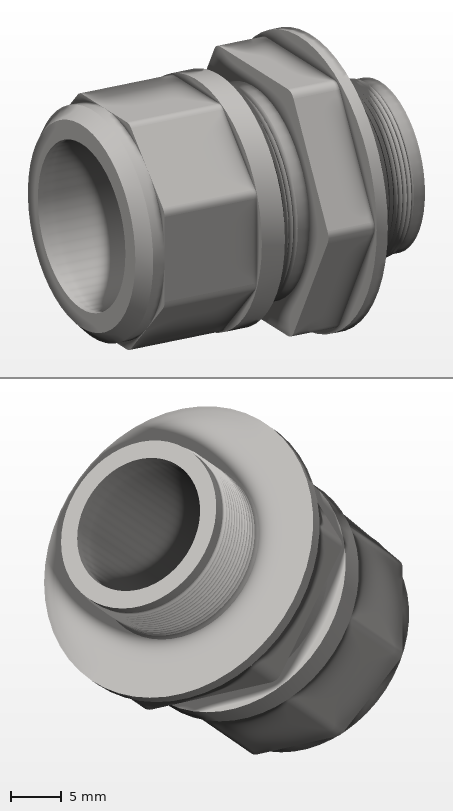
import cadquery as cq
import math


chamfer_length = 1.3
cap_length = 1.3
octagon_length = 10.4
nut_flange_length = 2.6
spigot_thread_length = 2.57
spigot_collar_length = 1.32
hex_length = 5.2
body_flange_length = 1.25
tip_length = 1.3
total_length = 33.78

nut_bore_radius = 8.68
nut_flange_radius = 12.97
octagon_across_flats = 23.88
octagon_corner_radius = 1.15
cap_radius = octagon_across_flats / 2

body_bore_radius = 6.95
body_flange_radius = 15.25
hex_across_flats = 25.95
hex_corner_radius = 1.3
tip_radius = 8.78

spigot_crest_radius = 11.0
spigot_root_radius = 10.65
spigot_groove_count = 5
entry_crest_radius = 9.0
entry_root_radius = 8.68
entry_pitch = 0.5
entry_crest_count = 12
entry_first_crest_from_tip = 1.65

cap_start = chamfer_length
octagon_start = cap_start + cap_length
nut_flange_start = octagon_start + octagon_length
body_start = nut_flange_start + nut_flange_length
collar_start = body_start + spigot_thread_length
hex_start = collar_start + spigot_collar_length
body_flange_start = hex_start + hex_length
entry_start = body_flange_start + body_flange_length
tip_start = total_length - tip_length


def turned(profile):
    """Solid of revolution about Y from (radius, y) points; the axis closes the outline."""
    axis_end = (0, profile[-1][1])
    axis_start = (0, profile[0][1])
    outline = cq.Workplane("XY").polyline([*profile, axis_end, axis_start]).close()
    return outline.revolve(360, (0, 0, 0), (0, 1, 0))


def cylinder(radius, start, length):
    return turned([(radius, start), (radius, start + length)])


def rounded_prism(sides, across_flats, corner_radius, start, length):
    """Regular prism along Y with flats facing +Z and -Z and rounded corners."""
    corner_distance = across_flats / 2 / math.cos(math.pi / sides)
    first_corner = math.pi / 2 + math.pi / sides
    corners = []
    for i in range(sides):
        angle = first_corner + i * 2 * math.pi / sides
        corners.append((corner_distance * math.cos(angle), corner_distance * math.sin(angle)))
    prism = cq.Workplane("XZ", origin=(0, start, 0)).polyline(corners).close().extrude(-length)
    return prism.edges("|Y").fillet(corner_radius)


def spigot_thread():
    """V grooves filling the length between the nut and the plain collar."""
    pitch = spigot_thread_length / spigot_groove_count
    profile = [(spigot_crest_radius, body_start)]
    for i in range(spigot_groove_count):
        groove_start = body_start + i * pitch
        profile.append((spigot_root_radius, groove_start + pitch / 2))
        profile.append((spigot_crest_radius, groove_start + pitch))
    return turned(profile)


def entry_thread():
    """Ring thread that flares out where its last groove meets the flange, and ends in the plain tip."""
    half_pitch = entry_pitch / 2
    flank_slope = (entry_crest_radius - entry_root_radius) / half_pitch
    first_crest = total_length - entry_first_crest_from_tip
    last_root = first_crest - (entry_crest_count - 1) * entry_pitch - half_pitch
    flare_radius = entry_root_radius + flank_slope * (last_root - entry_start)
    profile = [(flare_radius, entry_start), (entry_root_radius, last_root)]
    for i in range(entry_crest_count):
        root = last_root + i * entry_pitch
        profile.append((entry_crest_radius, root + half_pitch))
        profile.append((entry_root_radius, root + entry_pitch))
    profile.append((tip_radius, tip_start))
    profile.append((tip_radius, total_length))
    return turned(profile)


def make_dome_nut():
    cap = turned([
        (cap_radius - chamfer_length, 0),
        (cap_radius, cap_start),
        (cap_radius, octagon_start),
    ])
    octagon = rounded_prism(8, octagon_across_flats, octagon_corner_radius, octagon_start, octagon_length)
    flange = cylinder(nut_flange_radius, nut_flange_start, nut_flange_length)
    bore = cylinder(nut_bore_radius, 0, body_start)
    return cap.union(octagon).union(flange).cut(bore)


def make_body():
    collar = cylinder(spigot_crest_radius, collar_start, spigot_collar_length)
    hexagon = rounded_prism(6, hex_across_flats, hex_corner_radius, hex_start, hex_length)
    flange = cylinder(body_flange_radius, body_flange_start, body_flange_length)
    bore = cylinder(body_bore_radius, body_start, total_length - body_start)
    outside = spigot_thread().union(collar).union(hexagon).union(flange).union(entry_thread())
    return outside.cut(bore)


dome_nut = make_dome_nut()
body = make_body()

result = cq.Compound.makeCompound([dome_nut.val(), body.val()])